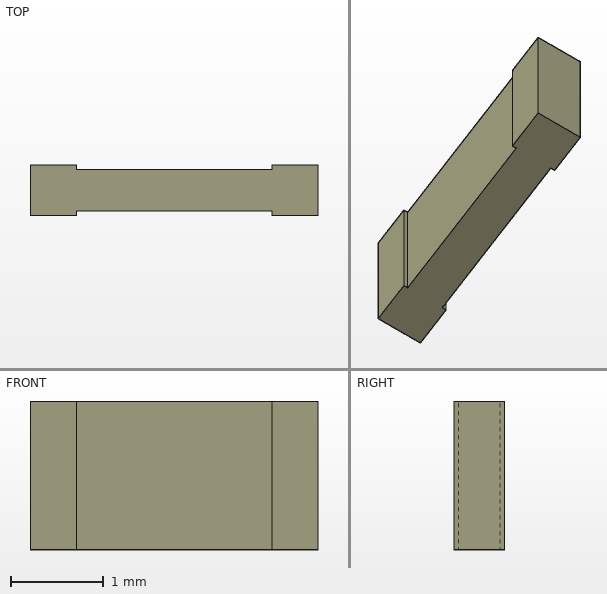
import cadquery as cq

length = 3.1
thickness = 0.55
height = 1.6

cap_length = 0.5
cap_step = 0.05

body_length = length - 2 * cap_length
body_thickness = thickness - 2 * cap_step


def end_cap(side):
    """Full-thickness block at one end; side is -1 or +1 along X."""
    center_x = side * (length - cap_length) / 2
    return cq.Workplane("XY").box(cap_length, thickness, height).translate((center_x, 0, 0))


result = cq.Workplane("XY").box(body_length, body_thickness, height)
for side in (-1, 1):
    result = result.union(end_cap(side))

result = result.clean()